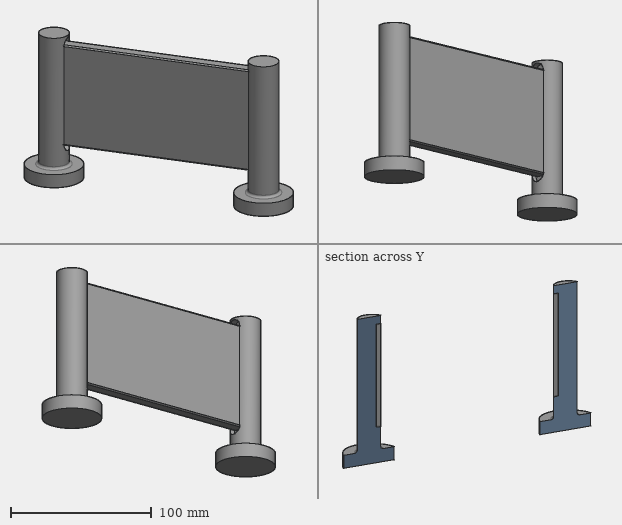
import cadquery as cq

overall_length = 201.5
post_height = 110.0

base_diameter = 42.5
base_height = 10.0
column_diameter = 22.0
foot_fillet_radius = 2.0
post_offset = (overall_length - base_diameter) / 2

panel_thickness = 10.0
panel_height = 76.5
panel_bottom = 27.0
panel_chamfer = 1.0
panel_center_height = panel_bottom + panel_height / 2

slot_side_clearance = 0.2
slot_width = panel_thickness + 2 * slot_side_clearance
slot_length = 86.5
slot_depth = 5.0
slot_floor_offset = post_offset - column_diameter / 2 + slot_depth

panel_length = 2 * slot_floor_offset


def make_slot_cutter():
    """Slot shape running along X from the slot floor of one post to that of the other."""
    return (
        cq.Workplane("YZ", origin=(-slot_floor_offset, 0, panel_center_height))
        .slot2D(slot_length, slot_width, 90)
        .extrude(panel_length)
    )


def make_post(center_x):
    """Base and column revolved about the post axis, then slotted for the panel."""
    base_radius = base_diameter / 2
    column_radius = column_diameter / 2
    fillet_top = (-column_radius, base_height + foot_fillet_radius)
    post = (
        cq.Workplane("XZ", origin=(center_x, 0, 0))
        .lineTo(-base_radius, 0)
        .lineTo(-base_radius, base_height)
        .lineTo(-column_radius - foot_fillet_radius, base_height)
        .radiusArc(fillet_top, -foot_fillet_radius)
        .lineTo(-column_radius, post_height)
        .lineTo(0, post_height)
        .close()
        .revolve(360, (0, 0, 0), (0, 1, 0))
    )
    return post.cut(make_slot_cutter())


def make_panel():
    """Flat plate reaching both slot floors, with its four long edges chamfered."""
    return (
        cq.Workplane("XY", origin=(0, 0, panel_center_height))
        .box(panel_length, panel_thickness, panel_height)
        .edges("|X")
        .chamfer(panel_chamfer)
    )


posts = [make_post(side * post_offset) for side in (-1, 1)]
panel = make_panel()

result = cq.Compound.makeCompound([*[post.val() for post in posts], panel.val()])